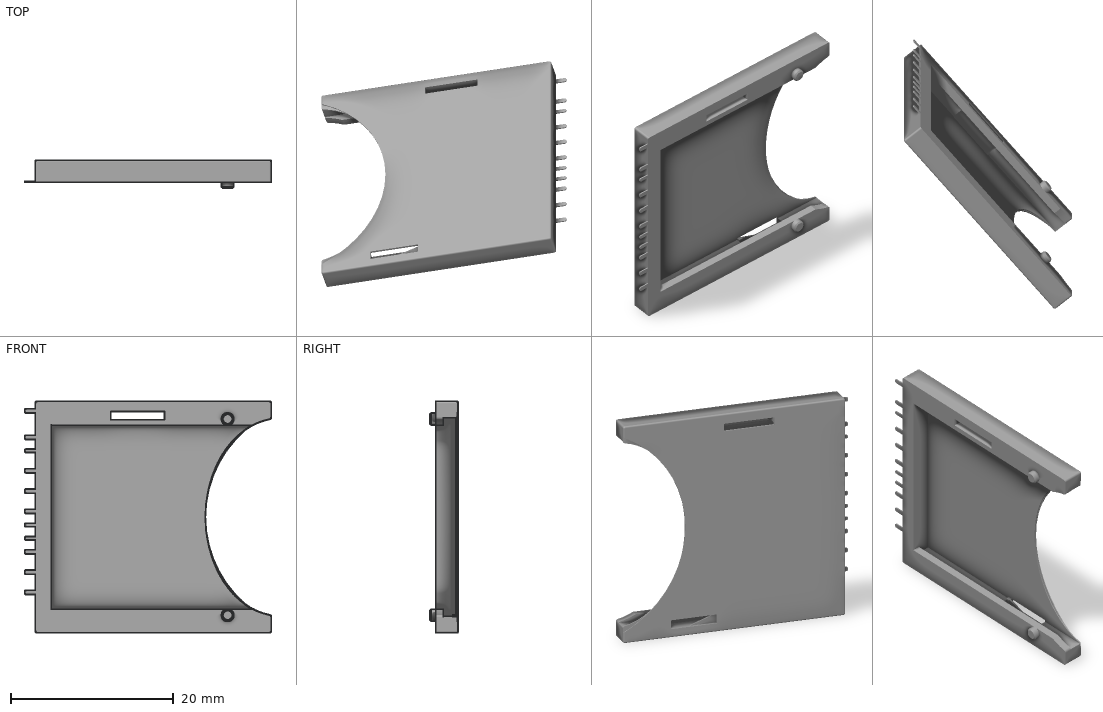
import cadquery as cq
import math


LENGTH = 29.0
WIDTH = 28.46
THICKNESS = 2.76
MID_Z = WIDTH / 2
CORNER_RADIUS = 0.25
BACK_EDGE_RADIUS = 0.2
TIP_RADIUS = 0.3

LIP_THICKNESS = 0.95
BACK_THICKNESS = 0.26
CAVITY_DEPTH = THICKNESS - LIP_THICKNESS - BACK_THICKNESS
CAVITY_WIDTH = 24.4
WINDOW_WIDTH = 22.62
LEFT_WALL = 1.95

CUTOUT_START = 20.9
CUTOUT_HALF_LENGTH = 9.2
CUTOUT_HALF_WIDTH = 12.13

COVER_THICKNESS = BACK_THICKNESS / 2
COVER_CUTOUT_RADIUS = 14.2

SLOT_INNER_MARGIN = 2.26
UPPER_SLOT_HEIGHT = 0.98
LOWER_SLOT_HEIGHT = 1.16
LOWER_SLOT_FLOOR = SLOT_INNER_MARGIN - LOWER_SLOT_HEIGHT
UPPER_SLOT_START = 9.3
UPPER_SLOT_END = 15.87
LOWER_SLOT_START = 16.3
LOWER_SLOT_END = 22.8

LATCH_FRONT = 2.1
LATCH_BLOCK_LENGTH = 0.5
LATCH_ARM_SETBACK = 0.1
LATCH_ARM_THICKNESS = 0.2
LATCH_SLOPE_ANGLE = 19.0

POST_DIAMETER = 1.52
POST_HEIGHT = 0.7
POST_CHAMFER = 0.18
POST_X = 23.63
POST_MARGIN = 2.18

LEAD_LENGTH = 1.3
LEAD_THICKNESS = 0.15
LEAD_TIP_RADIUS = 0.2
WIDE_LEAD = 0.55
NARROW_LEAD = 0.45
LEAD_PITCH = 2.49
FIRST_LEAD_Z = 4.98
GRID_LEAD_STEPS = (0, 1, 2, 4, 5, 6)
OUTER_WIDE_LEADS_Z = (24.03, 27.27)
NARROW_LEADS_Z = (11.63, 13.26, 22.37)


def block(x_start, x_end, y_start, y_end, z_start, z_end):
    """Box given by its limits along each axis."""
    size = (x_end - x_start, y_end - y_start, z_end - z_start)
    return cq.Workplane("XY").box(*size, centered=False).translate((x_start, y_start, z_start))


def front_plane(y):
    """Workplane at depth y with local axes X and Z and its normal toward -Y."""
    return cq.Workplane("XZ", origin=(0, y, 0))


def make_frame_layer():
    """Layer in front of the cover with the elliptical thumb cutout and rounded arm tips."""
    depth = THICKNESS - COVER_THICKNESS
    cutout = (
        front_plane(depth)
        .center(CUTOUT_START + CUTOUT_HALF_LENGTH, MID_Z)
        .ellipse(CUTOUT_HALF_LENGTH, CUTOUT_HALF_WIDTH)
        .extrude(depth)
    )
    layer = block(0, LENGTH, 0, depth, 0, WIDTH).cut(cutout)
    for side in (-1, 1):
        tip_position = (LENGTH, depth / 2, MID_Z + side * CUTOUT_HALF_WIDTH)
        layer = layer.edges(cq.selectors.NearestToPointSelector(tip_position)).fillet(TIP_RADIUS)
    return layer


def make_cover_layer():
    """Thin back layer with the circular thumb cutout."""
    cutout = (
        front_plane(THICKNESS)
        .center(CUTOUT_START + COVER_CUTOUT_RADIUS, MID_Z)
        .circle(COVER_CUTOUT_RADIUS)
        .extrude(COVER_THICKNESS)
    )
    return block(0, LENGTH, THICKNESS - COVER_THICKNESS, THICKNESS, 0, WIDTH).cut(cutout)


def make_housing():
    """Both layers within an envelope that has rounded corners and a rounded back rim."""
    envelope = block(0, LENGTH, 0, THICKNESS, 0, WIDTH)
    envelope = envelope.edges("|Y").fillet(CORNER_RADIUS)
    envelope = envelope.faces(">Y").edges().fillet(BACK_EDGE_RADIUS)
    return make_frame_layer().union(make_cover_layer()).intersect(envelope)


def make_opening():
    """Window through the front lip and the wider card cavity behind it, open at +X."""
    cavity_y = LIP_THICKNESS + CAVITY_DEPTH
    half_window = WINDOW_WIDTH / 2
    half_cavity = CAVITY_WIDTH / 2
    window = block(LEFT_WALL, LENGTH, 0, LIP_THICKNESS, MID_Z - half_window, MID_Z + half_window)
    cavity = block(LEFT_WALL, LENGTH, LIP_THICKNESS, cavity_y, MID_Z - half_cavity, MID_Z + half_cavity)
    return window.union(cavity)


def make_slots():
    """Upper slot through the whole thickness and lower slot behind the front lip."""
    upper_z = WIDTH - SLOT_INNER_MARGIN
    upper = block(UPPER_SLOT_START, UPPER_SLOT_END, 0, THICKNESS, upper_z, upper_z + UPPER_SLOT_HEIGHT)
    lower = block(
        LOWER_SLOT_START, LOWER_SLOT_END, LIP_THICKNESS, THICKNESS, LOWER_SLOT_FLOOR, SLOT_INNER_MARGIN
    )
    return upper.union(lower)


def make_latch():
    """Small block with a thin arm that slopes down to the bottom of the lower slot."""
    block_end = LOWER_SLOT_START + LATCH_BLOCK_LENGTH
    arm_length = LOWER_SLOT_HEIGHT / math.tan(math.radians(LATCH_SLOPE_ANGLE))
    arm_back = LATCH_FRONT + LATCH_ARM_SETBACK + LATCH_ARM_THICKNESS
    latch_block = block(
        LOWER_SLOT_START, block_end, LATCH_FRONT, THICKNESS, LOWER_SLOT_FLOOR, SLOT_INNER_MARGIN
    )
    arm = (
        front_plane(arm_back)
        .moveTo(block_end, LOWER_SLOT_FLOOR)
        .lineTo(block_end, SLOT_INNER_MARGIN)
        .lineTo(block_end + arm_length, LOWER_SLOT_FLOOR)
        .close()
        .extrude(LATCH_ARM_THICKNESS)
    )
    return latch_block.union(arm)


def make_post(z):
    """Chamfered locating post standing on the front lip."""
    post = front_plane(LIP_THICKNESS).center(POST_X, z).circle(POST_DIAMETER / 2)
    post = post.extrude(LIP_THICKNESS + POST_HEIGHT)
    post = post.faces("<Y").chamfer(POST_CHAMFER)
    overhang = block(0, LENGTH, 0, LIP_THICKNESS, MID_Z - WINDOW_WIDTH / 2, MID_Z + WINDOW_WIDTH / 2)
    return post.cut(overhang)


def make_lead(z, width):
    """Flat lead flush with the front face, with a rounded outer end, rooted in the left wall."""
    lead = block(-LEAD_LENGTH, LEFT_WALL / 2, 0, LEAD_THICKNESS, z - width / 2, z + width / 2)
    return lead.edges("|Y and <X").fillet(LEAD_TIP_RADIUS)


result = make_housing().cut(make_opening()).cut(make_slots()).union(make_latch())

for post_z in (POST_MARGIN, WIDTH - POST_MARGIN):
    result = result.union(make_post(post_z))

wide_leads_z = [FIRST_LEAD_Z + step * LEAD_PITCH for step in GRID_LEAD_STEPS]
wide_leads_z.extend(OUTER_WIDE_LEADS_Z)
for lead_z in wide_leads_z:
    result = result.union(make_lead(lead_z, WIDE_LEAD))
for lead_z in NARROW_LEADS_Z:
    result = result.union(make_lead(lead_z, NARROW_LEAD))